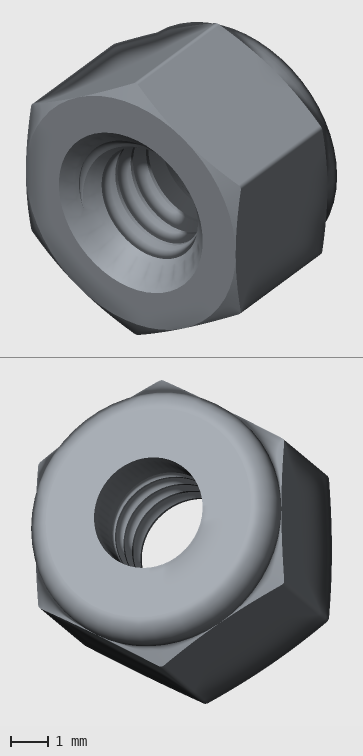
import cadquery as cq
import math


across_flats = 7.0
flat_radius = across_flats / 2
side_count = 6
half_side_angle = 180 / side_count
corner_radius_sharp = flat_radius / math.cos(math.radians(half_side_angle))
corner_fillet = 0.14
hex_height = 4.17
chamfer_angle = 25.0

total_height = 5.0
collar_radius = flat_radius
collar_fillet = 0.58

pitch = 0.7
crest_radius = 1.545
root_radius = 2.015
root_flat = 0.05
flank_angle = 30.0
thread_start_angle = 160.0
thread_start_height = -0.334
countersink_radius = 2.4

ring_radius = 2.6
ring_floor = 3.5
ring_bore_radius = crest_radius

groove_overlap = 0.1


def lay_along_y(body):
    """Turn a body built along Z so that its axis points along +Y."""
    return body.rotate((0, 0, 0), (1, 0, 0), -90)


def make_hexagon():
    """Hexagonal prism with rounded corners and conical chamfers at both ends."""
    prism = (
        cq.Workplane("XY")
        .polygon(side_count, 2 * corner_radius_sharp)
        .extrude(hex_height)
        .rotate((0, 0, 0), (0, 0, 1), half_side_angle)
        .edges("|Z")
        .fillet(corner_fillet)
    )
    chamfer_height = (corner_radius_sharp - flat_radius) * math.tan(math.radians(chamfer_angle))
    chamfer_envelope = (
        cq.Workplane("XZ")
        .moveTo(0, 0)
        .lineTo(flat_radius, 0)
        .lineTo(corner_radius_sharp, chamfer_height)
        .lineTo(corner_radius_sharp, hex_height - chamfer_height)
        .lineTo(flat_radius, hex_height)
        .lineTo(0, hex_height)
        .close()
        .revolve(360, (0, 0, 0), (0, 1, 0))
    )
    return prism.intersect(chamfer_envelope)


def make_collar():
    """Round collar on top of the hexagon, with its top edge rolled over."""
    return (
        cq.Workplane("XY")
        .workplane(offset=hex_height)
        .circle(collar_radius)
        .extrude(total_height - hex_height)
        .faces(">Z")
        .edges()
        .fillet(collar_fillet)
    )


def make_countersink():
    """90 degree cone at the entry, down to the thread crest."""
    depth = countersink_radius - crest_radius
    return cq.Workplane(cq.Solid.makeCone(countersink_radius, crest_radius, depth))


def make_thread_groove():
    """Helical V groove that runs from below the entry up into the ring recess."""
    inner_radius = crest_radius - groove_overlap
    groove_depth = root_radius - inner_radius
    half_root = root_flat / 2
    half_mouth = half_root + groove_depth * math.tan(math.radians(flank_angle))
    helix_height = ring_floor + pitch - thread_start_height
    helix = cq.Wire.makeHelix(pitch, helix_height, crest_radius)
    groove = (
        cq.Workplane("XZ")
        .moveTo(inner_radius, -half_mouth)
        .lineTo(root_radius, -half_root)
        .lineTo(root_radius, half_root)
        .lineTo(inner_radius, half_mouth)
        .close()
        .sweep(cq.Workplane(helix), isFrenet=True)
    )
    turned_groove = groove.rotate((0, 0, 0), (0, 0, 1), thread_start_angle)
    return turned_groove.translate((0, 0, thread_start_height))


def make_nut():
    """Hexagon and collar with bore, thread, ring recess and countersink.

    The thread is cut while the bore is still plain, so the recess and the
    countersink trim its ends.
    """
    bore = cq.Workplane("XY").circle(crest_radius).extrude(total_height)
    recess = (
        cq.Workplane("XY")
        .workplane(offset=ring_floor)
        .circle(ring_radius)
        .extrude(total_height - ring_floor)
    )
    return (
        make_hexagon()
        .union(make_collar())
        .cut(bore)
        .cut(make_thread_groove())
        .cut(recess)
        .cut(make_countersink())
    )


def make_locking_ring():
    """Plain ring that fills the recess in the collar."""
    return (
        cq.Workplane("XY")
        .workplane(offset=ring_floor)
        .circle(ring_radius)
        .circle(ring_bore_radius)
        .extrude(total_height - ring_floor)
    )


nut = lay_along_y(make_nut())
locking_ring = lay_along_y(make_locking_ring())

result = cq.Compound.makeCompound([nut.solids().val(), locking_ring.val()])